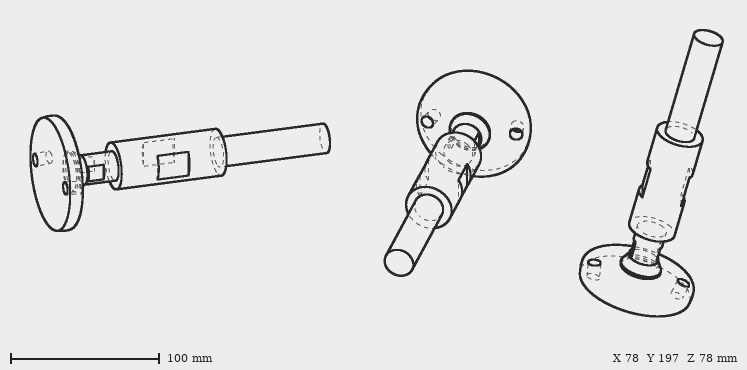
import cadquery as cq
import math

total_length = 197.0

foot_radius = 78.0 / 2
foot_bottom_radius = 38.5
rim_taper_height = 4.0
shoulder_height = 9.3
shoulder_fillet = 2.5
cone_angle = 10.4
foot_top_radius = 13.8
foot_height = shoulder_height + (foot_radius - foot_top_radius) * math.tan(math.radians(cone_angle))

anchor_hole_diameter = 8.5
anchor_hole_offset = 29.0

rod_radius = 20.0 / 2
seat_radius = 14.0
seat_edge_chamfer = 0.8
seat_rim_top = 16.2
seat_top = 22.9
sleeve_radius = 32.0 / 2
sleeve_start = 45.3
sleeve_length = 75.3
sleeve_end = sleeve_start + sleeve_length

rod_flats_start = 24.0
rod_flats_length = 11.0
rod_flats_width = 17.1
sleeve_flats_length = 22.0
sleeve_flats_start = sleeve_start + (sleeve_length - sleeve_flats_length) / 2
sleeve_flats_width = 27.0


def revolve_about_y(profile):
    return profile.close().revolve(360, (0, 0, 0), (0, 1, 0))


def anchor_hole(side):
    """Slanted cutter that leans outward with height; side is -1 or +1."""
    lean = math.radians(cone_angle)
    direction = cq.Vector(side * math.sin(lean), math.cos(lean), 0)
    base_point = cq.Vector(side * anchor_hole_offset, 0, 0)
    start = base_point - direction * foot_height
    return cq.Solid.makeCylinder(anchor_hole_diameter / 2, 3 * foot_height, start, direction)


def make_foot():
    profile = (
        cq.Workplane("XY")
        .lineTo(foot_bottom_radius, 0)
        .lineTo(foot_radius, rim_taper_height)
        .lineTo(foot_radius, shoulder_height)
        .lineTo(foot_top_radius, foot_height)
        .lineTo(0, foot_height)
    )
    foot = revolve_about_y(profile)
    shoulder_edge = cq.selectors.NearestToPointSelector((-foot_radius, shoulder_height, 0))
    foot = foot.edges(shoulder_edge).fillet(shoulder_fillet)
    for side in (-1, 1):
        foot = foot.cut(cq.Workplane(anchor_hole(side)))
    return foot


def cut_flats(stem, start, length, width):
    """Remove the material outside two parallel planes that are width apart."""
    cutter_size = 2 * sleeve_radius
    for side in (-1, 1):
        cutter = (
            cq.Workplane("XY")
            .box(cutter_size, length, cutter_size)
            .translate((side * (width + cutter_size) / 2, start + length / 2, 0))
        )
        stem = stem.cut(cutter)
    return stem


def make_stem():
    profile = (
        cq.Workplane("XY")
        .moveTo(0, foot_height)
        .lineTo(seat_radius - seat_edge_chamfer, foot_height)
        .lineTo(seat_radius, foot_height + seat_edge_chamfer)
        .lineTo(seat_radius, seat_rim_top)
        .lineTo(rod_radius, seat_top)
        .lineTo(rod_radius, sleeve_start)
        .lineTo(sleeve_radius, sleeve_start)
        .lineTo(sleeve_radius, sleeve_end)
        .lineTo(rod_radius, sleeve_end)
        .lineTo(rod_radius, total_length)
        .lineTo(0, total_length)
    )
    stem = revolve_about_y(profile)
    stem = cut_flats(stem, rod_flats_start, rod_flats_length, rod_flats_width)
    return cut_flats(stem, sleeve_flats_start, sleeve_flats_length, sleeve_flats_width)


foot = make_foot()
stem = make_stem()

result = cq.Compound.makeCompound([foot.solids().val(), stem.solids().val()])